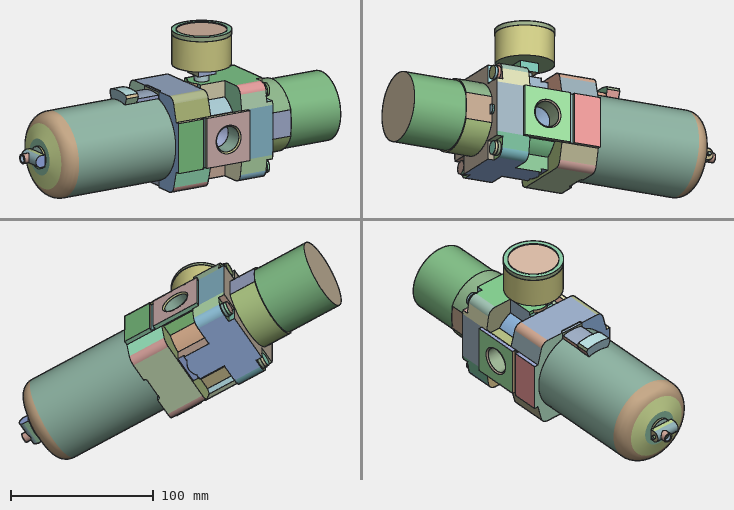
import cadquery as cq
import math


HOUSING_BACK = 38.5
PLATE_BACK = 17.8
NECK_BACK = 12.5
NECK_FRONT = -12.8
HOUSING_FRONT = -41.5

HOUSING_WIDTH = 70.0
PLATE_HALF_WIDTH = HOUSING_WIDTH / 2
PLATE_HALF_HEIGHT = 18.3
HOUSING_HALF_HEIGHT = 34.8
FRONT_BLOCK_TOP = 35.3
BACK_WAIST = 32.4
BACK_SHOULDER = 30.0
BACK_CORNER_RADIUS = 6.5
FRONT_WAIST = 31.9
FRONT_SHOULDER = 27.5
FRONT_CORNER_RADIUS = 6.0

CORE_RADIUS = 25.2
PEDESTAL_HALF_WIDTH = 10.5
NECK_FLOOR = 14.5
NECK_FLOOR_HALF_WIDTH = 29.5
BOSS_DIAMETER = 20.3
BOSS_STEP_Y = -7.7
BOSS_STEP_DEPTH = 2.5

PORT_DIAMETER = 18.5
PORT_MOUTH_DIAMETER = 20.8
PORT_DEPTH = 14.8
DRILL_TIP_ANGLE = 118
NOTCH_BACK = -18.0
NOTCH_WIDTH = 3.0
NOTCH_DEPTH = 2.2

COLLAR_DIAMETER = 52.1
COLLAR_FLATS = 48.5
COLLAR_LENGTH = 20.3
LOCK_PIN_DIAMETER = 7.0
LOCK_PIN_X = -25.2
LOCK_PIN_LENGTH = 1.5
SCREW_X = 24.2
SCREW_Z = 28.0
SCREW_HEAD_DIAMETER = 10.5
SCREW_HEAD_LENGTH = 2.2
SCREW_TOP_DIAMETER = 9.6
SCREW_TOP_LENGTH = 2.0
SCREW_POCKET_X = 18.3
SCREW_POCKET_Z = 21.3
SCREW_POCKET_DEPTH = 4.7

KNOB_DIAMETER = 50.0
KNOB_LENGTH = 41.0

GAUGE_TOP = 72.2
GAUGE_RIM_DIAMETER = 42.5
GAUGE_RIM_HEIGHT = 3.2
GAUGE_CASE_DIAMETER = 42.0
GAUGE_CASE_BOTTOM = 46.7
GLASS_DIAMETER = 35.8
GLASS_RECESS = 0.7
GAUGE_NUT_WIDTH = 14.3
GAUGE_NUT_BOTTOM = 39.8
GAUGE_STEM_DIAMETER = 10.5

BOWL_DIAMETER = 62.3
BOWL_SEAT_DEPTH = 2.0
BOWL_SHOULDER_Y = -121.5
BOWL_SHOULDER_RADIUS = 10.5
BOWL_TIP_Y = -134.7
BOWL_TIP_DIAMETER = 26.2
BOWL_CONE_SLOPE = 15.5

LATCH_STRIP_WIDTH = 17.0
LATCH_STRIP_RADIUS = 33.5
LATCH_HEAD_BACK = -59.5
LATCH_HEAD_FRONT = -69.5
LATCH_CROWN_RADIUS = 38.3
LATCH_BOTTOM = 30.0
LATCH_BOTTOM_HALF_WIDTH = 9.0
LATCH_WIDEST_Z = 34.8
LATCH_WIDEST_HALF_WIDTH = 10.9
LATCH_TOP_HALF_WIDTH = 10.0
LATCH_SLOT_WIDTH = 18.3
LATCH_SLOT_CORNER = 1.2
LATCH_TONGUE_TOP = 34.8

DRAIN_FLANGE_DIAMETER = 16.0
DRAIN_FLANGE_LENGTH = 1.7
DRAIN_BODY_WIDTH = 8.6
DRAIN_BODY_LENGTH = 18.8
DRAIN_BODY_STRAIGHT = 3.7
DRAIN_BODY_BULGE = 3.7
DRAIN_PIN_DIAMETER = 2.7
DRAIN_PIN_LENGTH = 1.7
SPIGOT_DIAMETER = 7.0
SPIGOT_BORE_DIAMETER = 5.0
SPIGOT_BORE_DEPTH = 2.5
SPIGOT_X = -3.0
SPIGOT_END_Y = -147.3

SIDES = (-1, 1)


def block(x_range, y_range, z_range):
    """Box between the given limits along X, Y and Z."""
    limits = (x_range, y_range, z_range)
    lengths = [high - low for low, high in limits]
    corner = cq.Vector(*[low for low, high in limits])
    return cq.Workplane(cq.Solid.makeBox(*lengths, corner))


def section_at(y):
    """Sketch plane across Y with local axes X and Z; extruding goes toward -Y."""
    return cq.Workplane("XZ", origin=(0, y, 0))


def rod(diameter, back, front, x=0, z=0):
    """Cylinder along Y between two stations."""
    return section_at(back).center(x, z).circle(diameter / 2).extrude(back - front)


def upright(diameter, bottom, top):
    """Cylinder on the gauge axis."""
    return cq.Workplane("XY", origin=(0, 0, bottom)).circle(diameter / 2).extrude(top - bottom)


def housing_block(back, front, waist, shoulder, top, bottom, corner_radius):
    """Prism along Y with a straight waist, slanted sides and rounded corners."""
    outline = [
        (waist, PLATE_HALF_HEIGHT),
        (shoulder, top),
        (-shoulder, top),
        (-waist, PLATE_HALF_HEIGHT),
        (-waist, -PLATE_HALF_HEIGHT),
        (-shoulder, bottom),
        (shoulder, bottom),
        (waist, -PLATE_HALF_HEIGHT),
    ]
    solid = section_at(back).polyline(outline).close().extrude(back - front)
    return solid.faces(">Z or <Z").edges("|Y").fillet(corner_radius)


def make_neck():
    """Round core with a gauge pedestal above and below, standing between the two side plates."""
    y_range = (NECK_FRONT, NECK_BACK)
    length = NECK_BACK - NECK_FRONT
    neck = block((-PLATE_HALF_WIDTH, PLATE_HALF_WIDTH), y_range, (-NECK_FLOOR, NECK_FLOOR))
    neck = neck.union(rod(2 * CORE_RADIUS, NECK_BACK, NECK_FRONT))

    step_z = HOUSING_HALF_HEIGHT - BOSS_STEP_DEPTH
    pedestal_x = (-PEDESTAL_HALF_WIDTH, PEDESTAL_HALF_WIDTH)
    neck = neck.union(block(pedestal_x, y_range, (-step_z, step_z)))
    neck = neck.union(block(
        pedestal_x, (BOSS_STEP_Y, NECK_BACK), (-HOUSING_HALF_HEIGHT, HOUSING_HALF_HEIGHT)))
    neck = neck.union(upright(BOSS_DIAMETER, -HOUSING_HALF_HEIGHT, HOUSING_HALF_HEIGHT))

    for side_x in SIDES:
        for side_z in SIDES:
            rim = [
                (side_x * PLATE_HALF_WIDTH, side_z * NECK_FLOOR),
                (side_x * PLATE_HALF_WIDTH, side_z * PLATE_HALF_HEIGHT),
                (side_x * FRONT_WAIST, side_z * PLATE_HALF_HEIGHT),
                (side_x * NECK_FLOOR_HALF_WIDTH, side_z * NECK_FLOOR),
            ]
            neck = neck.union(section_at(NECK_BACK).polyline(rim).close().extrude(length))
    return neck


def make_plates():
    """Flat pads on both sides that carry the ports, left open over the neck."""
    plate_z = (-PLATE_HALF_HEIGHT, PLATE_HALF_HEIGHT)
    plate_x = (-PLATE_HALF_WIDTH, PLATE_HALF_WIDTH)
    plates = block(plate_x, (NECK_BACK, PLATE_BACK), plate_z)
    plates = plates.union(block(plate_x, (HOUSING_FRONT, NECK_FRONT), plate_z))
    for side in SIDES:
        notch_x = sorted((side * (PLATE_HALF_WIDTH - NOTCH_DEPTH), side * PLATE_HALF_WIDTH))
        plates = plates.cut(block(notch_x, (NOTCH_BACK - NOTCH_WIDTH, NOTCH_BACK), plate_z))
    return plates


def make_port(side):
    """Drilled port with a countersunk mouth, opening at one side plate."""
    radius = PORT_DIAMETER / 2
    mouth_radius = PORT_MOUTH_DIAMETER / 2
    chamfer = mouth_radius - radius
    tip = PORT_DEPTH + radius / math.tan(math.radians(DRILL_TIP_ANGLE / 2))
    face = PLATE_HALF_WIDTH
    outline = [
        (side * face, 0),
        (side * face, mouth_radius),
        (side * (face - chamfer), radius),
        (side * (face - PORT_DEPTH), radius),
        (side * (face - tip), 0),
    ]
    return cq.Workplane("XZ").polyline(outline).close().revolve(360, (0, 0), (1, 0))


def screw_head(x, z):
    """Stepped screw head standing on the floor of its pocket."""
    floor = HOUSING_BACK - SCREW_POCKET_DEPTH
    step = floor + SCREW_HEAD_LENGTH
    head = rod(SCREW_HEAD_DIAMETER, step, floor, x, z)
    return head.union(rod(SCREW_TOP_DIAMETER, step + SCREW_TOP_LENGTH, step, x, z))


def add_screws(housing):
    """Cut a pocket into each back corner and place a screw head in it."""
    pocket_y = (HOUSING_BACK - SCREW_POCKET_DEPTH, HOUSING_BACK)
    for side_x in SIDES:
        for side_z in SIDES:
            pocket_x = sorted((side_x * SCREW_POCKET_X, side_x * PLATE_HALF_WIDTH))
            pocket_z = sorted((side_z * SCREW_POCKET_Z, side_z * FRONT_BLOCK_TOP))
            housing = housing.cut(block(pocket_x, pocket_y, pocket_z))
            housing = housing.union(screw_head(side_x * SCREW_X, side_z * SCREW_Z))
    return housing


def make_collar():
    """Round collar with two flats, behind the housing."""
    back = HOUSING_BACK + COLLAR_LENGTH
    collar = rod(COLLAR_DIAMETER, back, HOUSING_BACK)
    return collar.intersect(block(
        (-COLLAR_FLATS / 2, COLLAR_FLATS / 2),
        (HOUSING_BACK, back),
        (-COLLAR_DIAMETER, COLLAR_DIAMETER)))


def latch_slot():
    """Shallow slot across the front face behind the latch, open at top and bottom."""
    slot = block(
        (-LATCH_SLOT_WIDTH / 2, LATCH_SLOT_WIDTH / 2),
        (HOUSING_FRONT, HOUSING_FRONT + BOWL_SEAT_DEPTH),
        (-FRONT_BLOCK_TOP, FRONT_BLOCK_TOP))
    return slot.edges("|Z and >Y").fillet(LATCH_SLOT_CORNER)


def make_housing():
    housing = housing_block(
        HOUSING_BACK, NECK_BACK, BACK_WAIST, BACK_SHOULDER,
        HOUSING_HALF_HEIGHT, -HOUSING_HALF_HEIGHT, BACK_CORNER_RADIUS)
    housing = housing.union(make_neck())
    housing = housing.union(housing_block(
        NECK_FRONT, HOUSING_FRONT, FRONT_WAIST, FRONT_SHOULDER,
        FRONT_BLOCK_TOP, -HOUSING_HALF_HEIGHT, FRONT_CORNER_RADIUS))
    housing = housing.union(make_plates())
    housing = add_screws(housing)
    housing = housing.union(make_collar())
    housing = housing.union(rod(
        LOCK_PIN_DIAMETER, HOUSING_BACK + LOCK_PIN_LENGTH, HOUSING_BACK, LOCK_PIN_X))
    for side in SIDES:
        housing = housing.cut(make_port(side))
    housing = housing.cut(latch_slot())
    return housing.cut(rod(BOWL_DIAMETER, HOUSING_FRONT + BOWL_SEAT_DEPTH, HOUSING_FRONT))


def make_knob():
    front = HOUSING_BACK + COLLAR_LENGTH
    return rod(KNOB_DIAMETER, front + KNOB_LENGTH, front)


def make_gauge():
    gauge = upright(GAUGE_STEM_DIAMETER, HOUSING_HALF_HEIGHT, GAUGE_NUT_BOTTOM)
    half_nut = GAUGE_NUT_WIDTH / 2
    gauge = gauge.union(block(
        (-half_nut, half_nut), (-half_nut, half_nut), (GAUGE_NUT_BOTTOM, GAUGE_CASE_BOTTOM)))
    rim_bottom = GAUGE_TOP - GAUGE_RIM_HEIGHT
    gauge = gauge.union(upright(GAUGE_CASE_DIAMETER, GAUGE_CASE_BOTTOM, rim_bottom))
    gauge = gauge.union(upright(GAUGE_RIM_DIAMETER, rim_bottom, GAUGE_TOP))
    return gauge.cut(upright(GLASS_DIAMETER, GAUGE_TOP - GLASS_RECESS, GAUGE_TOP))


def make_bowl_shell():
    """Round bowl with a rounded shoulder that runs tangent into a shallow conical end."""
    radius = BOWL_DIAMETER / 2
    arc_center_r = radius - BOWL_SHOULDER_RADIUS

    def shoulder_point(degrees):
        angle = math.radians(degrees)
        return (
            arc_center_r + BOWL_SHOULDER_RADIUS * math.cos(angle),
            BOWL_SHOULDER_Y - BOWL_SHOULDER_RADIUS * math.sin(angle),
        )

    sweep = 90 - BOWL_CONE_SLOPE
    return (
        cq.Workplane("XY")
        .moveTo(0, HOUSING_FRONT + BOWL_SEAT_DEPTH)
        .lineTo(radius, HOUSING_FRONT + BOWL_SEAT_DEPTH)
        .lineTo(radius, BOWL_SHOULDER_Y)
        .threePointArc(shoulder_point(sweep / 2), shoulder_point(sweep))
        .lineTo(BOWL_TIP_DIAMETER / 2, BOWL_TIP_Y)
        .lineTo(0, BOWL_TIP_Y)
        .close()
        .revolve(360, (0, 0), (0, 1))
    )


def make_latch():
    """Tongue in the housing slot, curved strip along the bowl and a crowned finger grip."""
    half_strip = LATCH_STRIP_WIDTH / 2
    strip = rod(2 * LATCH_STRIP_RADIUS, HOUSING_FRONT, LATCH_HEAD_BACK).intersect(block(
        (-half_strip, half_strip),
        (LATCH_HEAD_BACK, HOUSING_FRONT),
        (LATCH_BOTTOM, LATCH_STRIP_RADIUS)))

    crown_edge_z = math.sqrt(LATCH_CROWN_RADIUS ** 2 - LATCH_TOP_HALF_WIDTH ** 2)
    grip = (
        section_at(LATCH_HEAD_BACK)
        .moveTo(-LATCH_BOTTOM_HALF_WIDTH, LATCH_BOTTOM)
        .lineTo(-LATCH_WIDEST_HALF_WIDTH, LATCH_WIDEST_Z)
        .lineTo(-LATCH_TOP_HALF_WIDTH, crown_edge_z)
        .threePointArc((0, LATCH_CROWN_RADIUS), (LATCH_TOP_HALF_WIDTH, crown_edge_z))
        .lineTo(LATCH_WIDEST_HALF_WIDTH, LATCH_WIDEST_Z)
        .lineTo(LATCH_BOTTOM_HALF_WIDTH, LATCH_BOTTOM)
        .close()
        .extrude(LATCH_HEAD_BACK - LATCH_HEAD_FRONT)
    )
    tongue = latch_slot().intersect(block(
        (-LATCH_SLOT_WIDTH, LATCH_SLOT_WIDTH),
        (HOUSING_FRONT, HOUSING_FRONT + BOWL_SEAT_DEPTH),
        (0, LATCH_TONGUE_TOP)))
    return tongue.union(strip).union(grip)


def make_drain():
    """Drain valve: flange, cross body with a rounded front, side pin and bored spigot."""
    body_back = BOWL_TIP_Y - DRAIN_FLANGE_LENGTH
    axis_y = body_back - DRAIN_BODY_STRAIGHT
    half_width = DRAIN_BODY_WIDTH / 2
    half_length = DRAIN_BODY_LENGTH / 2

    drain = rod(DRAIN_FLANGE_DIAMETER, BOWL_TIP_Y, body_back)
    drain = drain.union(
        cq.Workplane("YZ", origin=(-half_length, 0, 0))
        .moveTo(body_back, half_width)
        .lineTo(axis_y, half_width)
        .threePointArc((axis_y - DRAIN_BODY_BULGE, 0), (axis_y, -half_width))
        .lineTo(body_back, -half_width)
        .close()
        .extrude(DRAIN_BODY_LENGTH)
    )
    drain = drain.union(
        cq.Workplane("YZ", origin=(-half_length, axis_y, 0))
        .circle(DRAIN_PIN_DIAMETER / 2)
        .extrude(-DRAIN_PIN_LENGTH)
    )
    drain = drain.union(rod(SPIGOT_DIAMETER, axis_y, SPIGOT_END_Y, SPIGOT_X))
    return drain.cut(rod(
        SPIGOT_BORE_DIAMETER, SPIGOT_END_Y + SPIGOT_BORE_DEPTH, SPIGOT_END_Y, SPIGOT_X))


def make_bowl():
    return make_bowl_shell().union(make_latch()).union(make_drain())


housing = make_housing()
knob = make_knob()
gauge = make_gauge()
bowl = make_bowl()

result = cq.Compound.makeCompound([housing.val(), knob.val(), gauge.val(), bowl.val()])